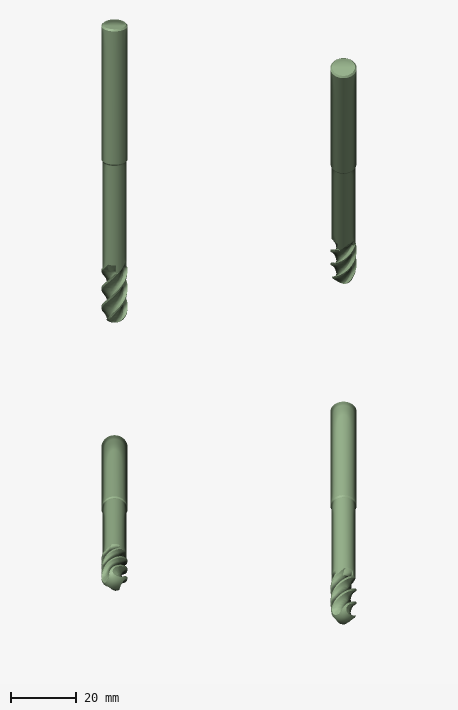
import cadquery as cq
import math

TOTAL_LENGTH = 100.0
CUT_RADIUS = 4.0
SHANK_RADIUS = CUT_RADIUS
NECK_RADIUS = 3.7

CUT_LENGTH = 18.0
RUNOUT_LENGTH = 2.6
NECK_TOP = 54.1
STEP_HEIGHT = 0.6
END_CHAMFER = 0.5

FLUTE_COUNT = 4
LEAD = 25.0
CORE_RADIUS = 2.3
LAND_RADIUS = 3.9
LAND_ANGLE = 12.0
HEEL_ANGLE = 58.0
GULLET_RADIUS = 2.2
GULLET_ANGLE = 76.0
RAKE_FOOT_RADIUS = 2.7
RAKE_FOOT_ANGLE = 94.0
TOOTH_PITCH = 360.0 / FLUTE_COUNT

CLEARANCE = 1.0
OUTSIDE_RADIUS = 6.0


def polar(radius, degrees):
    """Point in the section plane at a radius and an angle."""
    angle = math.radians(degrees)
    return (radius * math.cos(angle), radius * math.sin(angle))


def twist_over(height):
    """Helix rotation in degrees over an axial height."""
    return 360.0 * height / LEAD


def add_tooth_gap(section, start):
    """Extend an outline from one cutting edge over land, relief and gullet to the rake foot."""
    return (
        section.lineTo(*polar(LAND_RADIUS, start + LAND_ANGLE))
        .lineTo(*polar(CORE_RADIUS, start + HEEL_ANGLE))
        .threePointArc(
            polar(GULLET_RADIUS, start + GULLET_ANGLE),
            polar(RAKE_FOOT_RADIUS, start + RAKE_FOOT_ANGLE),
        )
    )


def fluted_bar(height):
    """Twisted bar whose section carries every tooth."""
    section = cq.Workplane("XY").moveTo(*polar(CUT_RADIUS, 0))
    for tooth in range(FLUTE_COUNT):
        start = tooth * TOOTH_PITCH
        section = add_tooth_gap(section, start)
        if tooth < FLUTE_COUNT - 1:
            section = section.lineTo(*polar(CUT_RADIUS, start + TOOTH_PITCH))
    return section.close().twistExtrude(height, twist_over(height))


def make_cutter():
    """Fluted cutting head with a ball nose."""
    envelope = (
        cq.Workplane("XZ")
        .lineTo(0, CUT_LENGTH)
        .lineTo(CUT_RADIUS, CUT_LENGTH)
        .lineTo(CUT_RADIUS, CUT_RADIUS)
        .radiusArc((0, 0), CUT_RADIUS)
        .close()
        .revolve(360, (0, 0), (0, 1))
    )
    return fluted_bar(CUT_LENGTH).intersect(envelope)


def make_runout():
    """Space of one flute above the cutting head, growing shallower and narrower.

    The heel side follows the helix, while the rake side runs straight up
    along the YZ plane. The space starts a little below the neck.
    """
    bottom = CUT_LENGTH - CLEARANCE
    top = CUT_LENGTH + RUNOUT_LENGTH
    height = top - bottom
    outer_radius = NECK_RADIUS + CLEARANCE

    gap = add_tooth_gap(cq.Workplane("XY", origin=(0, 0, bottom)).moveTo(*polar(CUT_RADIUS, 0)), 0)
    flute = (
        gap.lineTo(*polar(CUT_RADIUS, TOOTH_PITCH))
        .lineTo(*polar(OUTSIDE_RADIUS, TOOTH_PITCH / 2))
        .close()
        .twistExtrude(height, twist_over(height))
        .rotate((0, 0, 0), (0, 0, 1), -twist_over(CLEARANCE))
    )
    floor = (
        cq.Workplane("XZ")
        .moveTo(GULLET_RADIUS, bottom)
        .lineTo(outer_radius, bottom)
        .lineTo(outer_radius, top)
        .lineTo(NECK_RADIUS, top)
        .close()
        .revolve(360, (0, 0), (0, 1))
    )
    rake_side = cq.Workplane("XY", origin=(0, 0, bottom)).box(
        OUTSIDE_RADIUS, 2 * OUTSIDE_RADIUS, height, centered=(False, True, False)
    )
    return flute.intersect(floor).intersect(rake_side)


def make_shank():
    """Clamping shank and reduced neck, with the flutes running out in the neck."""
    body = (
        cq.Workplane("XZ")
        .moveTo(0, CUT_LENGTH)
        .lineTo(NECK_RADIUS, CUT_LENGTH)
        .lineTo(NECK_RADIUS, NECK_TOP)
        .lineTo(SHANK_RADIUS, NECK_TOP + STEP_HEIGHT)
        .lineTo(SHANK_RADIUS, TOTAL_LENGTH - END_CHAMFER)
        .lineTo(SHANK_RADIUS - END_CHAMFER, TOTAL_LENGTH)
        .lineTo(0, TOTAL_LENGTH)
        .close()
        .revolve(360, (0, 0), (0, 1))
    )
    runout = make_runout()
    for flute in range(FLUTE_COUNT):
        turn = twist_over(CUT_LENGTH) + flute * TOOTH_PITCH
        body = body.cut(runout.rotate((0, 0, 0), (0, 0, 1), turn))
    return body


cutter = make_cutter()
shank = make_shank()

result = cq.Compound.makeCompound([cutter.solids().val(), shank.solids().val()])